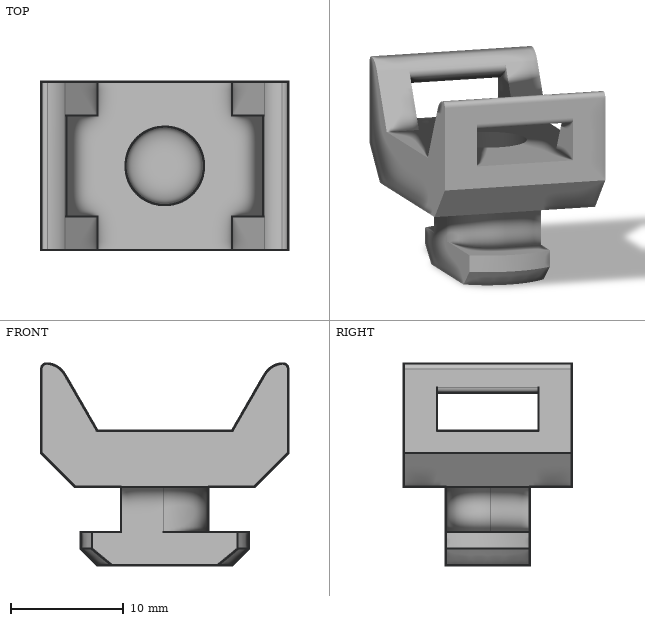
import cadquery as cq
import math

foot_radius = 7.5
foot_width = 7.5
foot_height = 3.0
foot_chamfer = 1.5

stem_length = 7.8
stem_width = foot_width
stem_height = 4.0
stem_corner_radius = 4.0

saddle_length = 22.0
saddle_depth = 15.0
saddle_chamfer = 3.0
floor_thickness = 5.0
floor_length = 12.0
arm_height = 6.0
arm_slope = math.radians(60)
arm_inner_radius = 2.0
arm_outer_radius = 0.5

window_width = 9.0
window_height = 3.36
bar_edge_radius = 0.5

recess_diameter = 7.0
recess_depth = 1.5

saddle_bottom = foot_height + stem_height
floor_level = saddle_bottom + floor_thickness
half_length = saddle_length / 2
half_floor = floor_length / 2
slope_cos = math.cos(arm_slope)
slope_sin = math.sin(arm_slope)
bar_rise = math.pi / 2 - arm_slope


def polar(center, radius, angle):
    """Point on a circle in the XZ plane, angle in radians from +X."""
    x, z = center
    return (x + radius * math.cos(angle), z + radius * math.sin(angle))


def slope_circle_center(radius, z):
    """Center, at height z, of a circle inside the arm that touches its sloping face."""
    x = half_floor + (radius + (z - floor_level) * slope_cos) / slope_sin
    return (x, z)


slope_normal_angle = arm_slope + math.pi / 2


def make_foot():
    disc = (
        cq.Workplane("XY")
        .circle(foot_radius)
        .extrude(foot_height)
        .faces("<Z")
        .chamfer(foot_chamfer)
    )
    flats = cq.Workplane("XY").box(
        2 * foot_radius, foot_width, foot_height, centered=(True, True, False)
    )
    return disc.intersect(flats)


def make_stem():
    stem = (
        cq.Workplane("XY")
        .workplane(offset=foot_height)
        .rect(stem_length, stem_width)
        .extrude(stem_height)
    )
    rounded_corners = stem.edges("|Z").edges(">(1,-1,0) or <(1,-1,0)")
    return rounded_corners.fillet(stem_corner_radius)


def make_half_saddle():
    """The +X half of the saddle, from the middle plane to the arm."""
    inner_center = slope_circle_center(
        arm_inner_radius, floor_level + arm_height - arm_inner_radius
    )
    outer_x = half_length - arm_outer_radius
    center_offset = outer_x - inner_center[0]
    center_distance = arm_inner_radius - arm_outer_radius
    outer_z = inner_center[1] + math.sqrt(center_distance**2 - center_offset**2)
    outer_center = (outer_x, outer_z)
    blend_angle = math.acos(center_offset / center_distance)

    return (
        cq.Workplane("XZ")
        .moveTo(0, saddle_bottom)
        .lineTo(half_length - saddle_chamfer, saddle_bottom)
        .lineTo(half_length, saddle_bottom + saddle_chamfer)
        .lineTo(half_length, outer_z)
        .threePointArc(
            polar(outer_center, arm_outer_radius, blend_angle / 2),
            polar(inner_center, arm_inner_radius, blend_angle),
        )
        .threePointArc(
            polar(inner_center, arm_inner_radius, (blend_angle + slope_normal_angle) / 2),
            polar(inner_center, arm_inner_radius, slope_normal_angle),
        )
        .lineTo(half_floor, floor_level)
        .lineTo(0, floor_level)
        .close()
        .extrude(saddle_depth / 2, both=True)
    )


def make_window():
    """Cutter for the +X arm; its upper side leaves the bar with rounded lower edges."""
    outer_center = (
        half_length - bar_edge_radius,
        floor_level + window_height + bar_edge_radius,
    )
    slope_x = slope_circle_center(bar_edge_radius, outer_center[1])[0]
    center_distance = (outer_center[0] - slope_x) * slope_sin
    inner_center = polar(outer_center, center_distance, math.pi - bar_rise)
    underside_angle = 1.5 * math.pi - bar_rise

    return (
        cq.Workplane("XZ")
        .moveTo(half_floor, floor_level)
        .lineTo(half_length, floor_level)
        .lineTo(*polar(outer_center, bar_edge_radius, 0))
        .threePointArc(
            polar(outer_center, bar_edge_radius, (2 * math.pi + underside_angle) / 2),
            polar(outer_center, bar_edge_radius, underside_angle),
        )
        .lineTo(*polar(inner_center, bar_edge_radius, underside_angle))
        .threePointArc(
            polar(inner_center, bar_edge_radius, (underside_angle + slope_normal_angle) / 2),
            polar(inner_center, bar_edge_radius, slope_normal_angle),
        )
        .close()
        .extrude(window_width / 2, both=True)
    )


def make_recess():
    return (
        cq.Workplane("XY")
        .workplane(offset=floor_level - recess_depth)
        .circle(recess_diameter / 2)
        .extrude(recess_depth)
    )


half_saddle = make_half_saddle().cut(make_window())
saddle = half_saddle.union(half_saddle.mirror("YZ")).cut(make_recess())
result = saddle.union(make_stem()).union(make_foot()).clean()